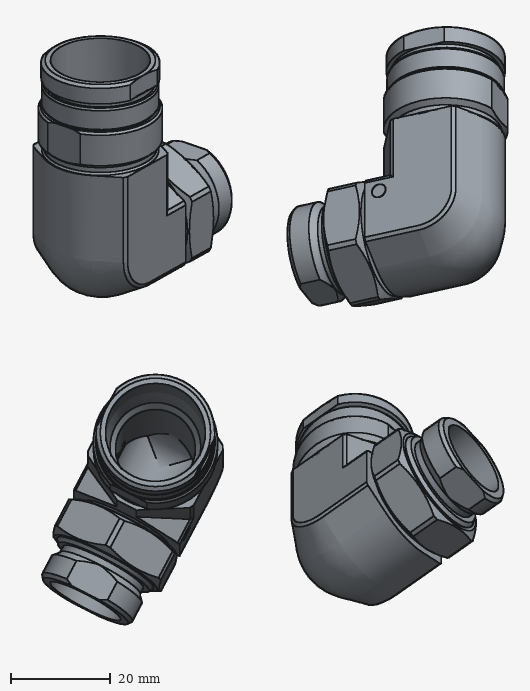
import cadquery as cq
import math


top_z = 39.95
end_y = 30.5
body_top_z = 19.95
body_back_y = 12.55
hex_front_y = 13.55
hex_back_y = 21.7

half_width = 12.0
across_flats = 2 * half_width
edge_start = 6.35
edge_cut_length = 0.8
bend_center = 0.9
flat_half_angle = math.radians(30)
slope = math.tan(flat_half_angle)

bore_radius = 16.0 / 2
bore_bend_radius = 6.1

mouth_radius = 20.0 / 2
mouth_cone_z = top_z - 9.85
seat_radius = 18.2 / 2
throat_radius = 8.2
seat_z = 23.7
throat_z = 22.45
bore_start_z = 21.95

lug_top_z = 28.6
lug_outer_y = 10.1
lug_inner_y = 8.8
lug_outer_width = 4.05
lug_inner_width = 2.8

collar_radius = 11.95
collar_flat = 11.1
collar_bottom_z = 36.0
groove_radius = 22.0 / 2
sleeve_radius = 23.6 / 2
sleeve_top_z = 34.9
sleeve_bottom_z = 30.25
ring_radius = 25.0 / 2
ring_flat = sleeve_radius
ring_top_z = 29.75
ring_bottom_z = 21.5
ring_chamfer = 0.5
ring_foot_height = 0.95
neck_radius = 22.8 / 2
neck_flare_z = 20.45
neck_flare_radius = 11.75
collar_bevel_height = 0.5
sleeve_bevel_height = 0.5
sleeve_bevel_depth = 0.25
sleeve_foot_z = 29.95

end_radius = 20.5 / 2
end_flat = 18.3 / 2
end_bevel_depth = 0.6
end_bevel_length = 0.8
end_cone_y = 25.5
end_foot_y = 24.5
end_foot_radius = 9.3
end_neck_y = 24.1
end_neck_radius = 18.2 / 2
flange_y = 22.7
flange_bevel_y = 21.85
flange_face_radius = 10.3
flange_radius = 10.95
flare_y = 13.0
flare_radius = 9.4

corner_radius = 13.55
nut_face_radius = 11.65
nut_bevel_length = 1.0

mark_diameter = 3.0
mark_depth = 0.1
mark_y = 9.5
mark_z = 3.85


def turned_on_z(profile):
    """Solid of revolution about Z from (radius, z) points."""
    return cq.Workplane("XZ").polyline(profile).close().revolve(360, (0, 0, 0), (0, 1, 0))


def turned_on_y(profile):
    """Solid of revolution about Y from (radius, y) points."""
    return cq.Workplane("XY").polyline(profile).close().revolve(360, (0, 0, 0), (0, 1, 0))


def box(x_range, y_range, z_range):
    """Box spanning the three given ranges."""
    size = [high - low for low, high in (x_range, y_range, z_range)]
    corner = (x_range[0], y_range[0], z_range[0])
    return cq.Workplane("XY").box(*size, centered=False).translate(corner)


corner_offset = half_width * slope
slope_start_offset = edge_start + edge_cut_length
slope_start_x = (2 * corner_offset - slope_start_offset) / slope
ridge_x = half_width * math.sin(flat_half_angle)
ridge_offset = half_width * math.cos(flat_half_angle)


def outer_half(sketch, inner_points):
    """Body section with its outer side toward -y, closed through inner points from +x to -x."""
    return (
        sketch.moveTo(-half_width, -edge_start)
        .lineTo(-slope_start_x, -slope_start_offset)
        .lineTo(-ridge_x, -ridge_offset)
        .threePointArc((0, -half_width), (ridge_x, -ridge_offset))
        .lineTo(slope_start_x, -slope_start_offset)
        .lineTo(half_width, -edge_start)
        .polyline(inner_points, includeCurrent=True)
        .close()
    )


def elbow_body():
    """Two hexagonal legs that meet at a mitre inside and a revolved bend outside."""
    flat_x = (2 * corner_offset - body_back_y) / slope
    right_side = [
        (half_width, edge_start),
        (slope_start_x, slope_start_offset),
        (flat_x, body_back_y),
    ]
    leg_inside = right_side + [(-x, y) for x, y in reversed(right_side)]
    bend_inside = [(half_width, bend_center), (-half_width, bend_center)]

    upright = outer_half(cq.Workplane("XY", origin=(0, 0, bend_center)), leg_inside)
    upright = upright.extrude(body_top_z - bend_center)

    level = outer_half(cq.Workplane("XZ", origin=(0, body_back_y, 0)), leg_inside)
    level = level.extrude(body_back_y - bend_center)

    bend = outer_half(cq.Workplane("XY", origin=(0, 0, bend_center)), bend_inside)
    bend = bend.revolve(90, (0, bend_center, 0), (1, bend_center, 0))
    return upright.union(level).union(bend)


def socket_exterior():
    """Grooved sleeve, ring with two Y flats and top collar with two X flats."""
    core = turned_on_z([
        (0, bend_center),
        (neck_flare_radius, bend_center),
        (neck_flare_radius, body_top_z),
        (neck_radius, neck_flare_z),
        (neck_radius, sleeve_foot_z),
        (sleeve_radius - sleeve_bevel_depth, sleeve_foot_z),
        (sleeve_radius, sleeve_bottom_z),
        (sleeve_radius, sleeve_top_z - sleeve_bevel_height),
        (sleeve_radius - sleeve_bevel_depth, sleeve_top_z),
        (groove_radius, sleeve_top_z),
        (groove_radius, top_z),
        (0, top_z),
    ])
    ring = turned_on_z([
        (0, ring_bottom_z),
        (neck_radius, ring_bottom_z),
        (ring_radius, ring_bottom_z + ring_foot_height),
        (ring_radius, ring_top_z - ring_chamfer),
        (ring_radius - ring_chamfer, ring_top_z),
        (0, ring_top_z),
    ])
    ring = ring.intersect(box(
        (-ring_radius, ring_radius), (-ring_flat, ring_flat), (ring_bottom_z, ring_top_z)
    ))
    collar = turned_on_z([
        (0, collar_bottom_z),
        (collar_radius, collar_bottom_z),
        (collar_radius, top_z - collar_bevel_height),
        (collar_flat, top_z),
        (0, top_z),
    ])
    collar = collar.intersect(box(
        (-collar_flat, collar_flat), (-collar_radius, collar_radius), (collar_bottom_z, top_z)
    ))
    return core.union(ring).union(collar)


def hex_nut():
    """Hexagon with two X flats, with corners turned down and beveled at both faces."""
    length = hex_back_y - hex_front_y
    hexagon = cq.Workplane("XZ", origin=(0, hex_back_y, 0))
    hexagon = hexagon.polygon(6, across_flats, circumscribed=True).extrude(length)
    envelope = turned_on_y([
        (0, hex_front_y),
        (nut_face_radius, hex_front_y),
        (corner_radius, hex_front_y + nut_bevel_length),
        (corner_radius, hex_back_y - nut_bevel_length),
        (nut_face_radius, hex_back_y),
        (0, hex_back_y),
    ])
    return hexagon.intersect(envelope)


def threaded_leg_exterior():
    """Neck and flange around the hex nut, and the end collar with two Z flats."""
    core = turned_on_y([
        (0, 0),
        (flare_radius, 0),
        (flare_radius, body_back_y),
        (end_neck_radius, flare_y),
        (end_neck_radius, hex_front_y),
        (flange_radius, hex_front_y),
        (flange_radius, flange_bevel_y),
        (flange_face_radius, flange_y),
        (end_neck_radius, flange_y),
        (end_neck_radius, end_y),
        (0, end_y),
    ])
    collar = turned_on_y([
        (0, end_neck_y),
        (end_neck_radius, end_neck_y),
        (end_foot_radius, end_foot_y),
        (end_radius, end_cone_y),
        (end_radius, end_y - end_bevel_length),
        (end_radius - end_bevel_depth, end_y),
        (0, end_y),
    ])
    collar = collar.intersect(box(
        (-end_radius, end_radius), (end_neck_y, end_y), (-end_flat, end_flat)
    ))
    return core.union(collar).union(hex_nut())


def bore():
    """Two plain bores joined by a corner rounded about an X axis."""
    bend = bore_bend_radius - bore_radius
    upright = cq.Workplane("XY").circle(bore_radius).extrude(top_z + bore_radius)
    upright = upright.translate((0, 0, -bore_radius))
    level = cq.Workplane("XZ", origin=(0, end_y, 0)).circle(bore_radius).extrude(end_y + bore_radius)
    rounding = cq.Workplane("YZ", origin=(-bore_radius, 0, 0)).center(bend, bend)
    rounding = rounding.circle(bore_bend_radius).extrude(2 * bore_radius)
    corner = upright.intersect(level).intersect(rounding)

    span = (-bore_radius, bore_radius)
    upright = upright.intersect(box(span, span, (bend, top_z)))
    level = level.intersect(box(span, (bend, end_y), span))
    return upright.union(level).union(corner)


def socket_mouth():
    """Straight mouth narrowing through a gentle and a steep cone to the plain bore."""
    return turned_on_z([
        (0, top_z),
        (mouth_radius, top_z),
        (mouth_radius, mouth_cone_z),
        (seat_radius, seat_z),
        (throat_radius, throat_z),
        (bore_radius, bore_start_z),
        (0, bore_start_z),
    ])


def locating_lug():
    """Lug with a trapezoid top, standing out from the cone of the socket."""
    outline = [
        (-lug_outer_width / 2, lug_outer_y),
        (lug_outer_width / 2, lug_outer_y),
        (lug_inner_width / 2, lug_inner_y),
        (-lug_inner_width / 2, lug_inner_y),
    ]
    lug = cq.Workplane("XY", origin=(0, 0, lug_top_z)).polyline(outline).close()
    return lug.extrude(throat_z - lug_top_z)


def marking_recess():
    """Shallow round recess in the -X side of the body."""
    recess = cq.Workplane("YZ", origin=(-half_width, 0, 0)).center(mark_y, mark_z)
    return recess.circle(mark_diameter / 2).extrude(mark_depth)


result = (
    elbow_body()
    .union(socket_exterior())
    .union(threaded_leg_exterior())
    .cut(bore())
    .cut(socket_mouth())
    .union(locating_lug())
    .cut(marking_recess())
)